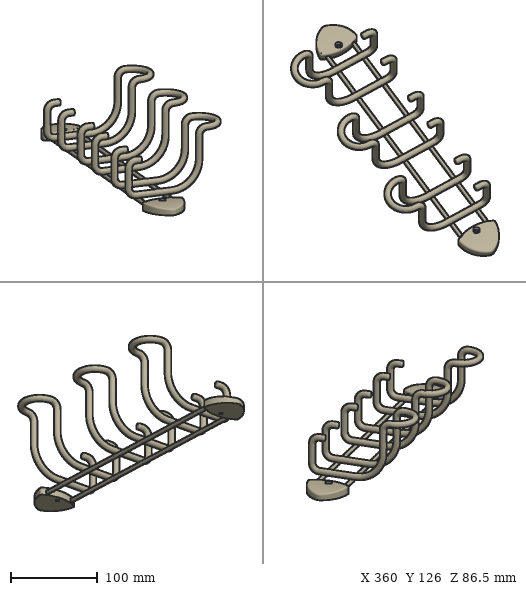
import cadquery as cq
import math

RACK_LENGTH = 360.0
HOOK_PITCH = 100.0
HOOK_COUNT = 3

ROD_DIAMETER = 5.0
ROD_SPACING = 35.0
ROD_HEIGHT = 4.0

CAP_WIDTH = 50.0
CAP_HEIGHT = 10.0
CAP_TIP_X = -RACK_LENGTH / 2
CAP_NOSE_END = (CAP_TIP_X + 0.9, 4.0)
CAP_SHOULDER = (CAP_TIP_X + 30.7, CAP_WIDTH / 2)
CAP_BACK_CORNER = (CAP_TIP_X + 34.0, 23.0)
CAP_BACK_X = CAP_TIP_X + 39.7
CAP_SIDE_RADIUS = 36.0
CAP_CORNER_RADIUS = 3.0
CAP_EDGE_FILLET = 2.0
CAP_FLAT_START_X = CAP_TIP_X + 24.5
CAP_CROWN_RADIUS = 118.0

SCREW_X = CAP_TIP_X + 32.2
SCREW_HOLE_DIAMETER = 4.0
SCREW_SINK_DIAMETER = 8.0
SCREW_SINK_ANGLE = 90.0

WIRE_DIAMETER = 8.0
LEG_SPACING = 42.0
LOOP_RADIUS = LEG_SPACING / 2
SEAT_Z = ROD_HEIGHT + ROD_DIAMETER / 2 + WIRE_DIAMETER / 2
FRONT_Y = -31.0
FRONT_TOP_Z = 52.5
FRONT_TIP_Y = -15.0
REAR_Y = 57.0
REAR_TOP_Z = 82.5
SEAT_BEND_RADIUS = 34.0
BEND_RADIUS = 9.0
LOOP_START_Y = REAR_Y + BEND_RADIUS
TIP_FILLET = 2.0


def cap_outline():
    """Shield outline: rounded nose, two bowed sides and a bowed back."""
    nose_x, nose_y = CAP_NOSE_END
    shoulder_x, shoulder_y = CAP_SHOULDER
    corner_x, corner_y = CAP_BACK_CORNER
    return (
        cq.Workplane("XY")
        .moveTo(nose_x, -nose_y)
        .threePointArc((CAP_TIP_X, 0), (nose_x, nose_y))
        .radiusArc((shoulder_x, shoulder_y), CAP_SIDE_RADIUS)
        .radiusArc((corner_x, corner_y), CAP_CORNER_RADIUS)
        .threePointArc((CAP_BACK_X, 0), (corner_x, -corner_y))
        .radiusArc((shoulder_x, -shoulder_y), CAP_CORNER_RADIUS)
        .radiusArc((nose_x, -nose_y), CAP_SIDE_RADIUS)
        .close()
    )


def crown_profile():
    """Side profile of the cap: flat top that curves down toward the nose."""
    run = CAP_FLAT_START_X - CAP_TIP_X
    mid_drop = CAP_CROWN_RADIUS - math.sqrt(CAP_CROWN_RADIUS**2 - (run / 2) ** 2)
    tip_drop = CAP_CROWN_RADIUS - math.sqrt(CAP_CROWN_RADIUS**2 - run**2)
    return (
        cq.Workplane("XZ")
        .moveTo(CAP_TIP_X, 0)
        .lineTo(CAP_TIP_X, CAP_HEIGHT - tip_drop)
        .threePointArc(
            (CAP_FLAT_START_X - run / 2, CAP_HEIGHT - mid_drop),
            (CAP_FLAT_START_X, CAP_HEIGHT),
        )
        .lineTo(CAP_BACK_X, CAP_HEIGHT)
        .lineTo(CAP_BACK_X, 0)
        .close()
    )


def make_left_cap():
    block = cap_outline().extrude(CAP_HEIGHT)
    crown = crown_profile().extrude(CAP_WIDTH, both=True)
    cap = block.intersect(crown)
    cap = cap.edges("not(<Z or |Z or |Y)").fillet(CAP_EDGE_FILLET)
    return (
        cap.faces(">Z")
        .workplane(origin=(SCREW_X, 0, CAP_HEIGHT))
        .cskHole(SCREW_HOLE_DIAMETER, SCREW_SINK_DIAMETER, SCREW_SINK_ANGLE)
    )


def make_rods():
    rod_end_x = CAP_BACK_CORNER[0]
    return (
        cq.Workplane("YZ", origin=(rod_end_x, 0, 0))
        .pushPoints([(-ROD_SPACING / 2, ROD_HEIGHT), (ROD_SPACING / 2, ROD_HEIGHT)])
        .circle(ROD_DIAMETER / 2)
        .extrude(-2 * rod_end_x)
    )


def make_frame():
    """Two end caps joined by the two rods."""
    left_cap = make_left_cap()
    right_cap = left_cap.mirror("YZ")
    return left_cap.union(right_cap).union(make_rods())


def bend(start, corner, end):
    """Quarter-circle edge from start to end, tangent to the lines that meet at corner."""
    start, corner, end = (cq.Vector(*point) for point in (start, corner, end))
    center = start + end - corner
    middle = center + (corner - center).normalized() * (start - center).Length
    return cq.Edge.makeThreePointArc(start, middle, end)


def leg_edges(x):
    """Wire axis of one leg, from its free front tip to the start of the rear loop."""
    front_low = SEAT_Z + BEND_RADIUS
    front_high = FRONT_TOP_Z - BEND_RADIUS
    front_in = FRONT_Y + BEND_RADIUS
    seat_end = REAR_Y - SEAT_BEND_RADIUS
    rear_low = SEAT_Z + SEAT_BEND_RADIUS
    rear_high = REAR_TOP_Z - BEND_RADIUS

    tip = (x, FRONT_TIP_Y, FRONT_TOP_Z)
    top_bend = [(x, front_in, FRONT_TOP_Z), (x, FRONT_Y, FRONT_TOP_Z), (x, FRONT_Y, front_high)]
    low_bend = [(x, FRONT_Y, front_low), (x, FRONT_Y, SEAT_Z), (x, front_in, SEAT_Z)]
    seat_bend = [(x, seat_end, SEAT_Z), (x, REAR_Y, SEAT_Z), (x, REAR_Y, rear_low)]
    loop_bend = [(x, REAR_Y, rear_high), (x, REAR_Y, REAR_TOP_Z), (x, LOOP_START_Y, REAR_TOP_Z)]

    edges = []
    last_point = tip
    for points in (top_bend, low_bend, seat_bend, loop_bend):
        edges.append(cq.Edge.makeLine(cq.Vector(*last_point), cq.Vector(*points[0])))
        edges.append(bend(*points))
        last_point = points[-1]
    return edges


def make_hook(center_x):
    """One bent wire: two legs joined by a half-round loop at the rear."""
    left_x = center_x - LEG_SPACING / 2
    right_x = center_x + LEG_SPACING / 2
    loop = cq.Edge.makeThreePointArc(
        cq.Vector(left_x, LOOP_START_Y, REAR_TOP_Z),
        cq.Vector(center_x, LOOP_START_Y + LOOP_RADIUS, REAR_TOP_Z),
        cq.Vector(right_x, LOOP_START_Y, REAR_TOP_Z),
    )
    axis = cq.Wire.assembleEdges(leg_edges(left_x) + [loop] + leg_edges(right_x)[::-1])
    wire = (
        cq.Workplane("XZ", origin=(left_x, FRONT_TIP_Y, FRONT_TOP_Z))
        .circle(WIRE_DIAMETER / 2)
        .sweep(cq.Workplane(axis))
    )
    return wire.faces("%PLANE").edges().fillet(TIP_FILLET)


frame = make_frame()
first_hook_x = -HOOK_PITCH * (HOOK_COUNT - 1) / 2
hooks = [make_hook(first_hook_x + HOOK_PITCH * index) for index in range(HOOK_COUNT)]

result = cq.Compound.makeCompound([frame.val(), *[hook.val() for hook in hooks]])